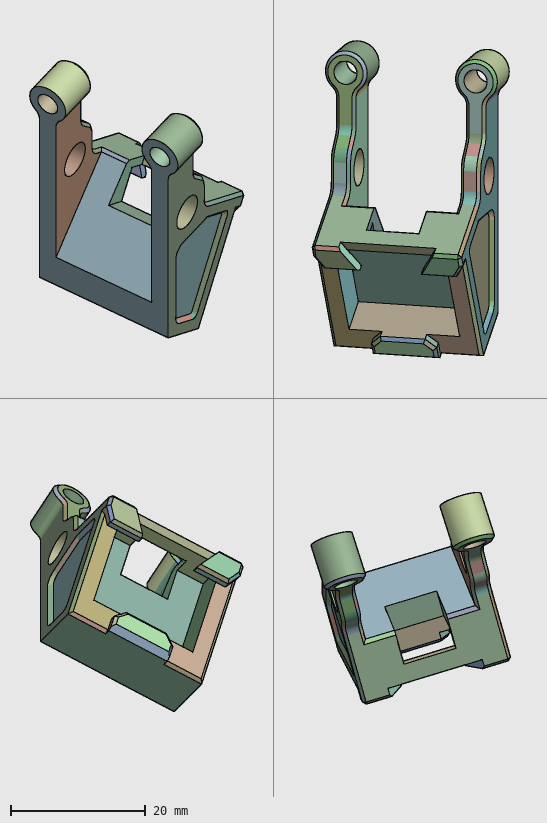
import cadquery as cq
import math

TILT = math.radians(30)
HEIGHT = 45.25
FRONT_EDGE_Z = 5.15
EDGE_CHAMFER = 0.5

BODY_HALF_WIDTH = 11.5
ARM_INNER_X = 8.5
BACK_DEPTH = 9.75
TOP_RISE = 22.0
CAVITY_FLOOR_Z = 10.95
ARM_DEPTH = 7.1
BULGE_DEPTH = 10.1
BULGE_TOP_Z = 30.2
PROFILE_FILLET = 2.0
BULGE_FILLET = 3.0
CROSS_HOLE_RADIUS = 2.75
CROSS_HOLE_Y = 5.0
CROSS_HOLE_Z = 27.25

LUG_RADIUS = 3.2
LUG_BORE_RADIUS = 1.75
LUG_FILLET = 2.0
LUG_X = (BODY_HALF_WIDTH + ARM_INNER_X) / 2
LUG_Z = HEIGHT - LUG_RADIUS

RECESS_DEPTH = 0.65
RECESS_FRONT_Y = 2.05
RECESS_TOP_Z = 21.8
RECESS_BACK_DEPTH = 7.3
RECESS_LOW_RISE = 2.0
RECESS_HIGH_RISE = 19.7
RECESS_LARGE_FILLET = 2.0
RECESS_SMALL_FILLET = 1.0

HOOK_DEPTH = 11.3
TAB_HALF_WIDTH = 5.0
TAB_TOP_RISE = 4.1
TAB_CORNER_CUT = 1.6
TAB_TOE_CHAMFER = 1.0
HOOK_INNER_X = 7.33
HOOK_SIDE_RISE = 19.8
HOOK_LOW_RISE = 17.45
HOOK_LEAN = math.tan(math.radians(30))

WINDOW_HALF_WIDTH = 4.03
WINDOW_LOW_RISE = 14.95
BRIDGE_FRONT_DEPTH = 6.87
POCKET_FRONT_DEPTH = 3.8
POCKET_TOP_RISE = 20.5
POCKET_LOW_RISE = TAB_TOP_RISE
POCKET_HALF_WIDTH = ARM_INNER_X

OVERLAP = 0.9
CLEARANCE = 27.15
TOLERANCE = 0.005

BACK_NORMAL = cq.Vector(0, math.cos(TILT), -math.sin(TILT))
OUTWARD = cq.selectors.DirectionMinMaxSelector(BACK_NORMAL)


def tilted(depth, rise):
    """(Y, Z) of a point given in the tilted frame."""
    y = depth * math.cos(TILT) + rise * math.sin(TILT)
    z = FRONT_EDGE_Z - depth * math.sin(TILT) + rise * math.cos(TILT)
    return (y, z)


def on_rise(y, rise):
    """Point at a given Y on the line of constant rise."""
    return (y, FRONT_EDGE_Z + rise / math.cos(TILT) - y * math.tan(TILT))


def across(points, half_width):
    """Extrude a (Y, Z) outline symmetrically about X = 0."""
    return cq.Workplane("YZ").polyline(points).close().extrude(half_width, both=True)


def back_plane(depth):
    """Workplane parallel to the back face: local x is -X, local y runs along the rise."""
    plane = cq.Plane(origin=(0, *tilted(depth, 0)), xDir=(-1, 0, 0), normal=BACK_NORMAL)
    return cq.Workplane(plane)


def tilted_block(half_width, depths, rises):
    """Block spanning the given depth and rise ranges."""
    (near, far), (low, high) = depths, rises
    corners = [tilted(near, low), tilted(far, low), tilted(far, high), tilted(near, high)]
    return across(corners, half_width)


def fillet_corners(solid, corners, radius):
    """Round the X-parallel edges that pass through the given (Y, Z) corners."""
    edges = [
        edge
        for edge in solid.edges("|X").vals()
        if any(math.dist((edge.Center().y, edge.Center().z), corner) < TOLERANCE for corner in corners)
    ]
    return solid.newObject(edges).fillet(radius)


def lug(side):
    """Rounded arm end with concave fillets running into the arm."""
    arm_half = (BODY_HALF_WIDTH - ARM_INNER_X) / 2
    fillet_x = arm_half + LUG_FILLET
    reach = LUG_RADIUS + LUG_FILLET
    neck_drop = math.sqrt(reach**2 - fillet_x**2)
    touch_x = fillet_x * LUG_RADIUS / reach
    touch_z = -neck_drop * LUG_RADIUS / reach
    lug_direction = math.atan2(neck_drop, -fillet_x)
    middle = (lug_direction + math.pi) / 2
    mid_x = fillet_x + LUG_FILLET * math.cos(middle)
    mid_z = -neck_drop + LUG_FILLET * math.sin(middle)
    outline = (
        cq.Workplane("XZ", origin=(side * LUG_X, 0, LUG_Z))
        .moveTo(arm_half, -neck_drop)
        .threePointArc((mid_x, mid_z), (touch_x, touch_z))
        .threePointArc((0, LUG_RADIUS), (-touch_x, touch_z))
        .threePointArc((-mid_x, mid_z), (-arm_half, -neck_drop))
        .close()
    )
    return outline.extrude(-ARM_DEPTH)


def chamfer_rear_edges(solid):
    """Chamfer the rim of the chain of faces that runs from the lugs down to the body top."""
    top_z = on_rise(0, TOP_RISE)[1]
    rim = []
    for face in solid.faces().vals():
        centre = face.Center()
        above_top = centre.z > top_z - centre.y * math.tan(TILT) - TOLERANCE
        if not above_top or centre.y < ARM_DEPTH - TOLERANCE:
            continue
        for edge in face.Edges():
            others = [other for other in rim if not other.isSame(edge)]
            rim = others if len(others) < len(rim) else rim + [edge]
    ridge = tilted(BACK_DEPTH, TOP_RISE)
    rim = [edge for edge in rim if math.dist((edge.Center().y, edge.Center().z), ridge) > TOLERANCE]
    return solid.newObject(rim).chamfer(EDGE_CHAMFER)


def body():
    """Tilted block with two lugged arms, before any holes."""
    bulge_low = on_rise(BULGE_DEPTH, TOP_RISE)
    bulge_high = (BULGE_DEPTH, BULGE_TOP_Z)
    step = (ARM_DEPTH, BULGE_TOP_Z + BULGE_DEPTH - ARM_DEPTH)
    solid = across(
        [
            tilted(0, 0),
            tilted(BACK_DEPTH, 0),
            tilted(BACK_DEPTH, TOP_RISE),
            bulge_low,
            bulge_high,
            step,
            (ARM_DEPTH, LUG_Z),
            (0, LUG_Z),
        ],
        BODY_HALF_WIDTH,
    )
    solid = fillet_corners(solid, [bulge_low, step], PROFILE_FILLET)
    solid = fillet_corners(solid, [bulge_high], BULGE_FILLET)
    cavity = across(
        [
            (-CLEARANCE, CAVITY_FLOOR_Z - CLEARANCE),
            (CLEARANCE, CAVITY_FLOOR_Z + CLEARANCE),
            (CLEARANCE, HEIGHT + CLEARANCE),
            (-CLEARANCE, HEIGHT + CLEARANCE),
        ],
        ARM_INNER_X,
    )
    solid = solid.cut(cavity)
    for side in (-1, 1):
        solid = solid.union(lug(side))
    solid = chamfer_rear_edges(solid.clean())

    ridge_z = tilted(BACK_DEPTH, TOP_RISE)[1]
    edges = [
        edge
        for edge in solid.faces(OUTWARD).edges().vals()
        if edge.Center().z < ridge_z - TOLERANCE
    ]
    return solid.newObject(edges).chamfer(EDGE_CHAMFER)


def side_recess(side):
    """Cutter for a shallow recess with 45 degree walls."""
    top_front = (RECESS_FRONT_Y, RECESS_TOP_Z)
    low_front = on_rise(RECESS_FRONT_Y, RECESS_LOW_RISE)
    low_back = tilted(RECESS_BACK_DEPTH, RECESS_LOW_RISE)
    high_back = tilted(RECESS_BACK_DEPTH, RECESS_HIGH_RISE)
    shoulder_y = (on_rise(0, RECESS_HIGH_RISE)[1] - RECESS_TOP_Z) / math.tan(TILT)
    top_back = (shoulder_y, RECESS_TOP_Z)
    solid = (
        cq.Workplane("YZ", origin=(BODY_HALF_WIDTH - RECESS_DEPTH, 0, 0))
        .polyline([top_front, low_front, low_back, high_back, top_back])
        .close()
        .extrude(RECESS_DEPTH + OVERLAP)
    )
    solid = fillet_corners(solid, [top_front, low_front], RECESS_LARGE_FILLET)
    solid = fillet_corners(solid, [low_back, high_back, top_back], RECESS_SMALL_FILLET)
    solid = solid.faces("<X").chamfer(RECESS_DEPTH)
    return solid if side > 0 else solid.mirror("YZ")


def window():
    """Cutter for the notch open to the cavity and to the top, in front of the bridge."""
    depths = (-CLEARANCE, BRIDGE_FRONT_DEPTH)
    return tilted_block(WINDOW_HALF_WIDTH, depths, (WINDOW_LOW_RISE, CLEARANCE))


def pocket():
    """Cutter for the pocket let into the back face behind the window."""
    depths = (POCKET_FRONT_DEPTH, BACK_DEPTH)
    return tilted_block(POCKET_HALF_WIDTH, depths, (POCKET_LOW_RISE, POCKET_TOP_RISE))


def back_prism(outline):
    """Prism standing on the back face, sunk into the body, up to the hook depth."""
    base = BACK_DEPTH - OVERLAP
    return back_plane(base).polyline(outline).close().extrude(HOOK_DEPTH - base)


def tab():
    """Low central tab with clipped upper corners and a steep toe."""
    shoulder_x = TAB_HALF_WIDTH - TAB_CORNER_CUT
    shoulder_rise = TAB_TOP_RISE - TAB_CORNER_CUT
    solid = back_prism(
        [
            (-TAB_HALF_WIDTH, 0),
            (TAB_HALF_WIDTH, 0),
            (TAB_HALF_WIDTH, shoulder_rise),
            (shoulder_x, TAB_TOP_RISE),
            (-shoulder_x, TAB_TOP_RISE),
            (-TAB_HALF_WIDTH, shoulder_rise),
        ]
    )
    solid = solid.faces(OUTWARD).edges().chamfer(EDGE_CHAMFER)
    toe = across(
        [
            tilted(HOOK_DEPTH - TAB_TOE_CHAMFER, 0),
            tilted(HOOK_DEPTH, TAB_TOE_CHAMFER),
            tilted(HOOK_DEPTH, 0),
        ],
        TAB_HALF_WIDTH,
    )
    return solid.cut(toe)


def hook(side):
    """Hook at an upper corner of the back face, leaning inward as it runs down."""
    outline = [
        (HOOK_INNER_X, TOP_RISE),
        (BODY_HALF_WIDTH, TOP_RISE),
        (BODY_HALF_WIDTH, HOOK_SIDE_RISE),
        (BODY_HALF_WIDTH - (HOOK_SIDE_RISE - HOOK_LOW_RISE) * HOOK_LEAN, HOOK_LOW_RISE),
        (HOOK_INNER_X - (TOP_RISE - HOOK_LOW_RISE) * HOOK_LEAN, HOOK_LOW_RISE),
    ]
    solid = back_prism([(-x, rise) for x, rise in outline])
    inner_x = (outline[0][0] + outline[-1][0]) / 2
    corner = (BODY_HALF_WIDTH, *tilted(BACK_DEPTH, TOP_RISE))
    outer = [
        edge
        for edge in solid.faces(OUTWARD).edges().vals()
        if abs(edge.Center().x - inner_x) > TOLERANCE
    ]
    corner_edge = solid.edges(cq.selectors.NearestToPointSelector(corner)).vals()
    solid = solid.newObject(outer + corner_edge).chamfer(EDGE_CHAMFER)
    return solid if side > 0 else solid.mirror("YZ")


def cross_hole():
    """Cutter for the hole through both arms."""
    return (
        cq.Workplane("YZ", origin=(0, CROSS_HOLE_Y, CROSS_HOLE_Z))
        .circle(CROSS_HOLE_RADIUS)
        .extrude(BODY_HALF_WIDTH, both=True)
    )


def lug_bore(side):
    """Cutter for the bore of one lug."""
    return (
        cq.Workplane("XZ", origin=(side * LUG_X, 0, LUG_Z))
        .circle(LUG_BORE_RADIUS)
        .extrude(-ARM_DEPTH)
    )


result = body().union(tab())
for side in (-1, 1):
    result = result.union(hook(side)).cut(side_recess(side)).cut(lug_bore(side))
result = result.cut(pocket()).cut(window()).cut(cross_hole())